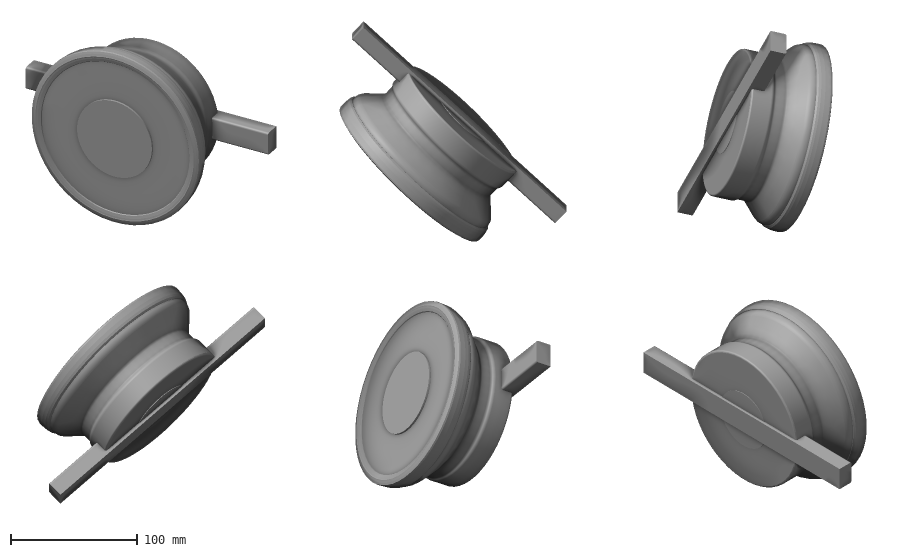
import cadquery as cq
import math


BAR_LENGTH = 220.0
BAR_HEIGHT = 19.8
BAR_BACK_Y = 65.5
BAR_DEPTH = 13.5
BAR_EDGE_RADIUS = 1.8

HOUSING_BACK_Y = 63.0
BEZEL_SEAT_Y = 13.9
FACE_DIAMETER = 134.0
FACE_Y = 1.8
BARREL_DIAMETER = 119.5
BARREL_FRONT_Y = 46.5
BARREL_BACK_RADIUS = 1.5
NECK_DIAMETER = 115.7
NECK_BLEND_RADIUS = 2.9
NECK_FRONT_Y = 34.5
FLARE_DIAMETER = 146.5
FLARE_BLEND_RADIUS = 8.4
BOSS_DIAMETER = 50.8
BOSS_HEIGHT = 0.5
SLOPE = math.radians(45)

BEZEL_DIAMETER = 152.5
BEZEL_BACK_DIAMETER = 147.5
BEZEL_SHOULDER_DIAMETER = 150.0
BEZEL_SHOULDER_Y = 12.5
BEZEL_TAPER_DIAMETER = 151.1
BEZEL_TAPER_Y = 10.5
BEZEL_BAND_BACK_DIAMETER = 152.0
BEZEL_BAND_BACK_Y = 7.3
BEZEL_BAND_FRONT_Y = 2.6
BEZEL_CORNER_DIAMETER = 151.8
BEZEL_CORNER_Y = 1.3
BEZEL_NOSE_DIAMETER = 148.3
BEZEL_NOSE_Y = 0.7
RIM_OUTER_DIAMETER = 145.2
RIM_PEAK_DIAMETER = 143.9
RIM_INNER_DIAMETER = 142.5
RIM_CROWN = 0.2
RIM_BEVEL_DIAMETER = 140.0
RIM_BEVEL_Y = 0.5
OPENING_DIAMETER = 135.0
OPENING_FRONT_Y = 1.0

DISC_DIAMETER = 68.0
DISC_HEIGHT = 1.8


def revolve_about_y(profile):
    """Turn a closed (radius, Y) profile fully around the Y axis."""
    return profile.close().revolve(360, (0, 0, 0), (0, 1, 0))


def make_bar():
    """Straight bar with its two long front edges rounded."""
    bar = cq.Workplane("XY").box(BAR_LENGTH, BAR_DEPTH, BAR_HEIGHT)
    bar = bar.faces("<Y").edges("|X").fillet(BAR_EDGE_RADIUS)
    return bar.translate((0, BAR_BACK_Y - BAR_DEPTH / 2, 0))


def make_housing(bar):
    """Turned body from the front face to the back boss, slotted for the bar."""
    barrel_r = BARREL_DIAMETER / 2
    neck_r = NECK_DIAMETER / 2
    flare_r = FLARE_DIAMETER / 2
    sine = math.sin(SLOPE)
    rise = 1 - math.cos(SLOPE)
    half_sine = math.sin(SLOPE / 2)
    half_rise = 1 - math.cos(SLOPE / 2)

    step_radius = (barrel_r - neck_r) / rise - NECK_BLEND_RADIUS
    step_y = BARREL_FRONT_Y - step_radius * sine
    step_r = barrel_r - step_radius * rise
    neck_back_y = step_y - NECK_BLEND_RADIUS * sine

    cone_back_r = neck_r + NECK_BLEND_RADIUS * rise
    cone_back_y = NECK_FRONT_Y - NECK_BLEND_RADIUS * sine
    cone_front_r = flare_r - FLARE_BLEND_RADIUS * rise
    cone_front_y = cone_back_y - (cone_front_r - cone_back_r) / math.tan(SLOPE)
    flare_back_y = cone_front_y - FLARE_BLEND_RADIUS * sine

    profile = (
        cq.Workplane("XY")
        .moveTo(0, FACE_Y)
        .lineTo(0, HOUSING_BACK_Y)
        .lineTo(barrel_r - BARREL_BACK_RADIUS, HOUSING_BACK_Y)
        .threePointArc(
            (barrel_r - BARREL_BACK_RADIUS * rise, HOUSING_BACK_Y - BARREL_BACK_RADIUS * rise),
            (barrel_r, HOUSING_BACK_Y - BARREL_BACK_RADIUS),
        )
        .lineTo(barrel_r, BARREL_FRONT_Y)
        .threePointArc(
            (barrel_r - step_radius * half_rise, BARREL_FRONT_Y - step_radius * half_sine),
            (step_r, step_y),
        )
        .threePointArc(
            (neck_r + NECK_BLEND_RADIUS * half_rise, neck_back_y + NECK_BLEND_RADIUS * half_sine),
            (neck_r, neck_back_y),
        )
        .lineTo(neck_r, NECK_FRONT_Y)
        .threePointArc(
            (neck_r + NECK_BLEND_RADIUS * half_rise, NECK_FRONT_Y - NECK_BLEND_RADIUS * half_sine),
            (cone_back_r, cone_back_y),
        )
        .lineTo(cone_front_r, cone_front_y)
        .threePointArc(
            (flare_r - FLARE_BLEND_RADIUS * half_rise, flare_back_y + FLARE_BLEND_RADIUS * half_sine),
            (flare_r, flare_back_y),
        )
        .lineTo(flare_r, BEZEL_SEAT_Y)
        .lineTo(FACE_DIAMETER / 2, BEZEL_SEAT_Y)
        .lineTo(FACE_DIAMETER / 2, FACE_Y)
    )
    boss_base = cq.Workplane("XZ", origin=(0, HOUSING_BACK_Y, 0))
    boss = boss_base.circle(BOSS_DIAMETER / 2).extrude(-BOSS_HEIGHT)
    return revolve_about_y(profile).union(boss).cut(bar)


def make_bezel():
    """Ring around the front face, behind which the flare begins."""
    profile = (
        cq.Workplane("XY")
        .moveTo(FACE_DIAMETER / 2, BEZEL_SEAT_Y)
        .lineTo(BEZEL_BACK_DIAMETER / 2, BEZEL_SEAT_Y)
        .lineTo(BEZEL_SHOULDER_DIAMETER / 2, BEZEL_SHOULDER_Y)
        .lineTo(BEZEL_TAPER_DIAMETER / 2, BEZEL_TAPER_Y)
        .lineTo(BEZEL_BAND_BACK_DIAMETER / 2, BEZEL_BAND_BACK_Y)
        .lineTo(BEZEL_DIAMETER / 2, BEZEL_BAND_FRONT_Y)
        .lineTo(BEZEL_CORNER_DIAMETER / 2, BEZEL_CORNER_Y)
        .lineTo(BEZEL_NOSE_DIAMETER / 2, BEZEL_NOSE_Y)
        .lineTo(RIM_OUTER_DIAMETER / 2, RIM_CROWN)
        .lineTo(RIM_PEAK_DIAMETER / 2, 0)
        .lineTo(RIM_INNER_DIAMETER / 2, RIM_CROWN)
        .lineTo(RIM_BEVEL_DIAMETER / 2, RIM_BEVEL_Y)
        .lineTo(OPENING_DIAMETER / 2, OPENING_FRONT_Y)
        .lineTo(FACE_DIAMETER / 2, FACE_Y)
    )
    return revolve_about_y(profile)


def make_centre_disc():
    """Flat disc that stands on the front face."""
    base = cq.Workplane("XZ", origin=(0, FACE_Y, 0))
    return base.circle(DISC_DIAMETER / 2).extrude(DISC_HEIGHT)


bar = make_bar()
housing = make_housing(bar)
bezel = make_bezel()
centre_disc = make_centre_disc()

result = cq.Compound.makeCompound([housing.val(), bezel.val(), centre_disc.val(), bar.val()])